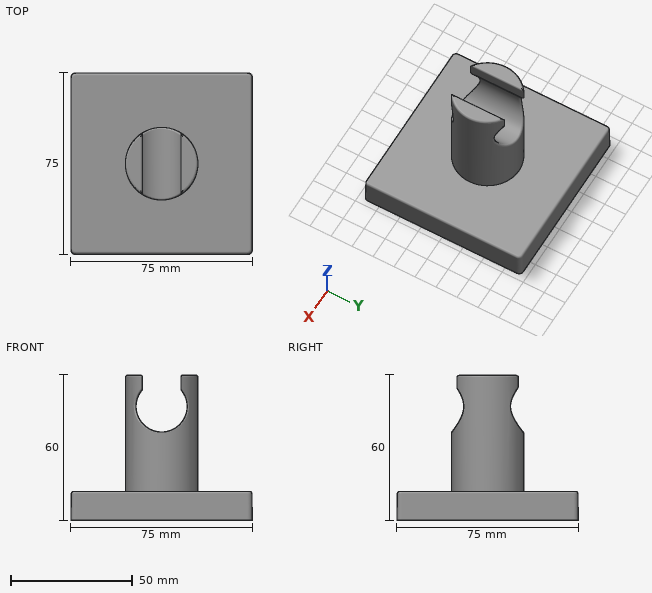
import cadquery as cq
import math

plate_side = 75.0
plate_height = 12.0
plate_corner_radius = 2.0
plate_draft = 1.0
plate_edge_radius = 1.0

total_height = 60.0
post_radius = 15.0
post_rim_radius = 1.0
bore_radius = 10.5
bore_depth = 13.0
slot_width = 16.0
mouth_radius = 0.75
front_breakout_radius = 0.5
back_breakout_radius = 0.75

bore_z = total_height - bore_depth
cut_length = 3 * post_radius


def make_plate():
    outline = cq.Sketch().rect(plate_side, plate_side).vertices().fillet(plate_corner_radius)
    plate = cq.Workplane("XY").placeSketch(outline).extrude(plate_height, taper=plate_draft)
    return plate.faces(">Z").edges().fillet(plate_edge_radius)


def make_cradle_cutter():
    """Keyhole prism: a round bore opened to the top by a narrower slot with a rounded mouth."""
    half_width = slot_width / 2
    neck_z = bore_z + math.sqrt(bore_radius**2 - half_width**2)
    half_mouth = half_width + mouth_radius
    mouth_z = total_height - mouth_radius
    outline = (
        cq.Workplane("XZ")
        .moveTo(half_mouth, total_height)
        .radiusArc((half_width, mouth_z), -mouth_radius)
        .lineTo(half_width, neck_z)
        .threePointArc((0, bore_z - bore_radius), (-half_width, neck_z))
        .lineTo(-half_width, mouth_z)
        .radiusArc((-half_mouth, total_height), -mouth_radius)
        .close()
    )
    return outline.extrude(cut_length / 2, both=True)


def round_breakout(post, side, radius):
    """Round the curved edge where the bore breaks out of the post; side is -1 for -Y, 1 for +Y."""
    breakout_bottom = (0, side * post_radius, bore_z - bore_radius)
    nearest = cq.selectors.NearestToPointSelector(breakout_bottom)
    edge = post.edges("not(|X or |Y or |Z)").edges(nearest)
    return edge.fillet(radius)


def make_post():
    post = cq.Workplane("XY").circle(post_radius).extrude(total_height)
    post = post.faces(">Z").edges().fillet(post_rim_radius)
    post = post.cut(make_cradle_cutter())
    post = round_breakout(post, -1, front_breakout_radius)
    return round_breakout(post, 1, back_breakout_radius)


result = make_plate().union(make_post())